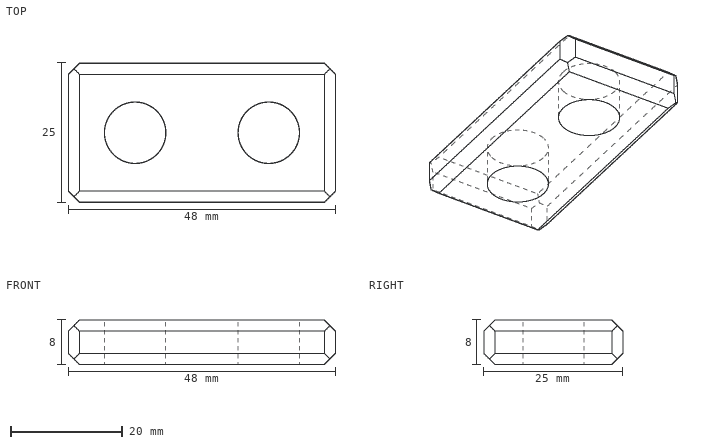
import cadquery as cq

length = 48.0
width = 25.0
thickness = 8.0
edge_chamfer = 2.0
hole_diameter = 11.0
hole_spacing = length / 2


def bevelled_block(axis):
    """Full-size block with only the four edges parallel to the axis chamfered."""
    block = cq.Workplane("XY").box(length, width, thickness)
    return block.edges("|" + axis).chamfer(edge_chamfer)


plate = bevelled_block("X").intersect(bevelled_block("Y")).intersect(bevelled_block("Z"))

hole_centres = [(-hole_spacing / 2, 0), (hole_spacing / 2, 0)]
result = plate.faces(">Z").workplane().pushPoints(hole_centres).hole(hole_diameter)